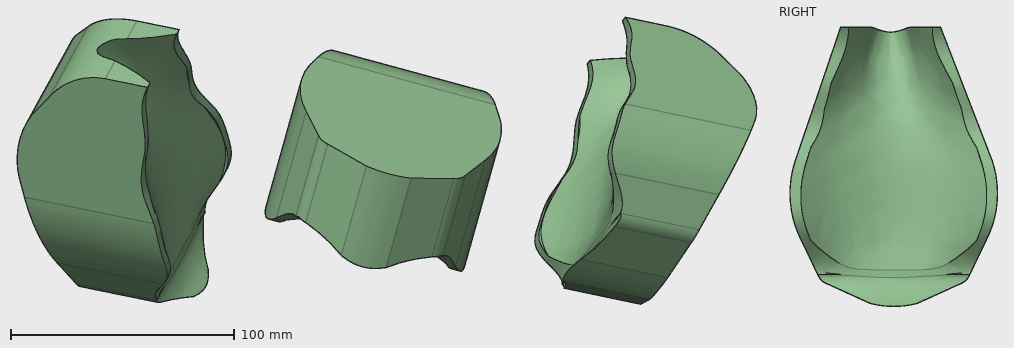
import cadquery as cq

HEIGHT = 125.05
MAX_HALF_WIDTH = 46.485
TIP_X = 76.41
CLEARANCE = 10.0
TOOL_X = TIP_X + CLEARANCE

BACK_FOOT_X = 32.45
BACK_FLAT_END = (2.1, 73.5)
BACK_ROUND_MID = (0.03, 86.5)
BACK_ROUND_END = (4.9, 102.5)
CROWN_START = (12.2, 112.3)
CROWN_MID = (21.9, 121.0)
CROWN_END_X = 36.9

RIM_TOP_X = 56.9
RIM_WAVE = [
    (55.35, 114.8),
    (58.75, 99.0),
    (58.4, 85.0),
    (60.2, 77.2),
    (66.6, 65.3),
    (71.3, 50.0),
    (73.3, 40.0),
    (70.3, 30.0),
    (66.0, 22.6),
    (64.45, 16.0),
    (66.1, 11.2),
    (69.9, 6.6),
]

TOP_Y_LEFT = -23.8
TOP_Y_RIGHT = 21.0
CHEEK_TOP = (44.1, 65.3)
CHEEK_MID_Z = 50.0
CHEEK_BOTTOM = (41.6, 30.0)
LIP_TOP_Z = 14.4
JAW_CORNER_TOP = (34.1, LIP_TOP_Z)
JAW_CORNER_MID = (32.5, 11.9)
JAW_CORNER_BOTTOM = (29.3, 9.9)
CHIN_SIDE = (10.4, 1.3)

HOLLOW_LEVELS = [
    (HEIGHT, RIM_TOP_X, 25.3, 18.9, (TOP_Y_LEFT + TOP_Y_RIGHT) / 2, 1.0),
    (100.0, 58.6, 37.0, 27.2, -0.8, 0.5),
    (72.0, 63.0, 50.0, 36.8, 0.0, 0.0),
    (48.0, 71.5, 55.5, 41.6, 0.0, 0.0),
    (30.0, 70.2, 59.5, 37.3, 0.0, 0.0),
    (LIP_TOP_Z, 64.4, 65.3, 30.0, 0.0, 0.0),
]
V_SHARES = [(0.21, 0.07), (0.36, 0.20), (0.45, 0.36), (0.58, 0.56), (0.78, 0.79)]

LIP_LEVELS = [
    (LIP_TOP_Z, 65.3, 40.0),
    (11.2, 65.8, 34.0),
    (6.6, 68.7, 28.0),
    (3.0, 72.4, 20.0),
    (0.0, TIP_X, 13.0),
]
LIP_CROWN = 1.2
LIP_STOCK = 2.0


def make_side_profile():
    """Back and front profile in the XZ plane, extruded across the full width."""
    half_span = MAX_HALF_WIDTH + CLEARANCE
    return (
        cq.Workplane("XZ", origin=(0, half_span, 0))
        .moveTo(BACK_FOOT_X, 0)
        .lineTo(*BACK_FLAT_END)
        .threePointArc(BACK_ROUND_MID, BACK_ROUND_END)
        .lineTo(*CROWN_START)
        .threePointArc(CROWN_MID, (CROWN_END_X, HEIGHT))
        .lineTo(RIM_TOP_X, HEIGHT)
        .spline(RIM_WAVE + [(TIP_X + LIP_STOCK, 0)], includeCurrent=True)
        .close()
        .extrude(2 * half_span)
    )


def mirrored(point):
    return (-point[0], point[1])


def make_width_outline():
    """Teardrop outline in the YZ plane, extruded through the full depth."""
    return (
        cq.Workplane("YZ", origin=(-CLEARANCE, 0, 0))
        .moveTo(TOP_Y_RIGHT, HEIGHT)
        .lineTo(*CHEEK_TOP)
        .threePointArc((MAX_HALF_WIDTH, CHEEK_MID_Z), CHEEK_BOTTOM)
        .lineTo(*JAW_CORNER_TOP)
        .threePointArc(JAW_CORNER_MID, JAW_CORNER_BOTTOM)
        .lineTo(*CHIN_SIDE)
        .threePointArc((0, 0), mirrored(CHIN_SIDE))
        .lineTo(*mirrored(JAW_CORNER_BOTTOM))
        .threePointArc(mirrored(JAW_CORNER_MID), mirrored(JAW_CORNER_TOP))
        .lineTo(*mirrored(CHEEK_BOTTOM))
        .threePointArc((-MAX_HALF_WIDTH, CHEEK_MID_Z), mirrored(CHEEK_TOP))
        .lineTo(TOP_Y_LEFT, HEIGHT)
        .close()
        .extrude(TOOL_X + CLEARANCE)
    )


def level_section(z, rim_x, floor_x, half_width, centre_y, v_share):
    """Level section of a cutter: a curved nose with straight sides running out to the front."""
    offsets = []
    for width_share, v_depth in V_SHARES:
        bowl_depth = width_share**2
        depth_share = v_share * v_depth + (1 - v_share) * bowl_depth
        offsets.append((floor_x + depth_share * (rim_x - floor_x), width_share * half_width))
    left = [(x, centre_y - y, z) for x, y in offsets]
    right = [(x, centre_y + y, z) for x, y in reversed(offsets)]
    right_rim = (rim_x, centre_y + half_width, z)
    left_rim = (rim_x, centre_y - half_width, z)
    curve = [right_rim] + right + [(floor_x, centre_y, z)] + left + [left_rim]
    front_left = (TOOL_X, centre_y - half_width, z)
    front_right = (TOOL_X, centre_y + half_width, z)
    edges = [
        cq.Edge.makeSpline([cq.Vector(*p) for p in curve]),
        cq.Edge.makeLine(cq.Vector(*left_rim), cq.Vector(*front_left)),
        cq.Edge.makeLine(cq.Vector(*front_left), cq.Vector(*front_right)),
        cq.Edge.makeLine(cq.Vector(*front_right), cq.Vector(*right_rim)),
    ]
    return cq.Wire.assembleEdges(edges)


def make_hollow():
    return cq.Solid.makeLoft([level_section(*level) for level in HOLLOW_LEVELS])


def make_lip_cut():
    """Trims the lip back at its sides, leaving it crowned at the middle."""
    sections = [level_section(z, x - LIP_CROWN, x, half, 0.0, 0.0) for z, x, half in LIP_LEVELS]
    return cq.Solid.makeLoft(sections)


body = make_side_profile().intersect(make_width_outline())
result = body.cut(cq.Workplane(make_hollow())).cut(cq.Workplane(make_lip_cut()))